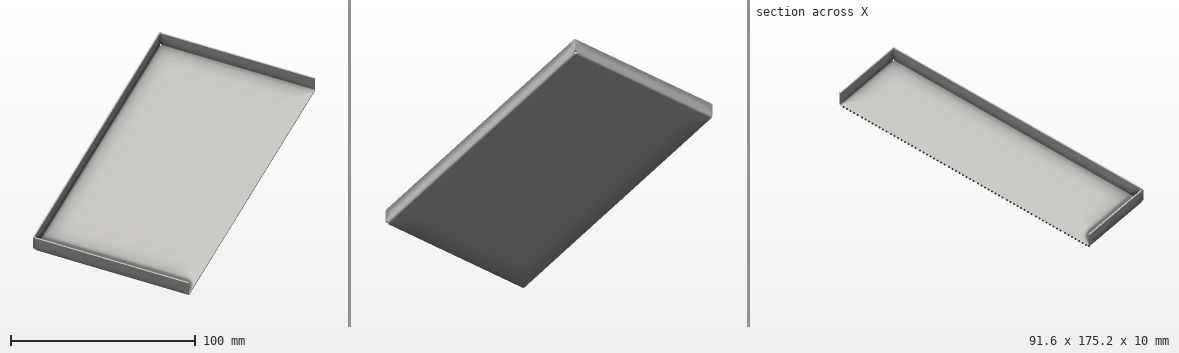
import cadquery as cq

length_x = 91.6
width_y = 175.2
height = 10.0

sheet = 0.8
inner_bend = 0.6
outer_bend = inner_bend + sheet
side_wall_drop = 0.5
top_corner_radius = 1.0
corner_gap = 0.09

side_height = height - side_wall_drop
x_min = -length_x / 2
x_max = length_x / 2
y_max = width_y / 2
side_x_min = x_min + sheet + corner_gap


def bent_wall(plane, wall_height, run, depth):
    """Extrude an L-section: a wall on the local Y axis bent into a floor of the given run."""
    return (
        cq.Workplane(plane)
        .moveTo(0, wall_height)
        .lineTo(0, outer_bend)
        .radiusArc((outer_bend, 0), -outer_bend)
        .lineTo(run, 0)
        .lineTo(run, sheet)
        .lineTo(outer_bend, sheet)
        .radiusArc((sheet, outer_bend), inner_bend)
        .lineTo(sheet, wall_height)
        .close()
        .extrude(depth)
    )


side_plane = cq.Plane(origin=(x_max, -y_max, 0), xDir=(0, 1, 0), normal=(1, 0, 0))
side_start = x_min + outer_bend
near_side = bent_wall(side_plane, side_height, y_max, side_start - x_max)
far_side = near_side.mirror("XZ")

bend_width = width_y - 2 * outer_bend
end_plane = cq.Plane(origin=(x_min, bend_width / 2, 0), xDir=(1, 0, 0), normal=(0, -1, 0))
end_wall = bent_wall(end_plane, height, length_x / 2, bend_width)

end_face_bottom = outer_bend
end_face_height = height - end_face_bottom
end_face = (
    cq.Workplane("XY")
    .box(sheet, width_y, end_face_height, centered=(False, True, False))
    .edges("|X and >Z")
    .fillet(top_corner_radius)
    .translate((x_min, 0, end_face_bottom))
)
end_face = end_face.cut(
    cq.Workplane("XY")
    .box(sheet, bend_width, height, centered=(False, True, False))
    .translate((x_min, 0, 0))
)

side_tips = (
    cq.Workplane("XY")
    .box(side_start - side_x_min, sheet, side_height - outer_bend, centered=False)
    .translate((side_x_min, -y_max, outer_bend))
)

result = near_side.union(far_side).union(end_wall).union(end_face)
result = result.union(side_tips).union(side_tips.mirror("XZ"))